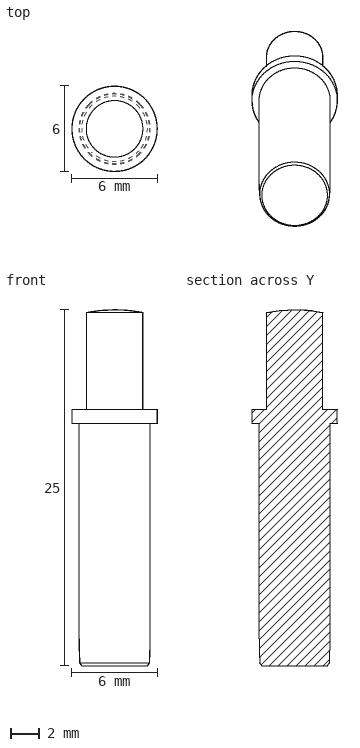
import cadquery as cq

total_height = 25.0
flange_top = 18.0
flange_thickness = 1.0
tip_height = 2.0
chamfer_height = 0.2
dome_height = 0.2

flange_radius = 3.0
barrel_radius = 2.5
plunger_diameter = 3.98
plunger_radius = plunger_diameter / 2
tip_end_radius = 2.45
bottom_radius = 2.3

crown_length = tip_height - chamfer_height
crown_drop = barrel_radius - tip_end_radius
crown_radius = (crown_length**2 + crown_drop**2) / (2 * crown_drop)
crown_mid_height = tip_height - crown_length / 2
crown_mid_radius = barrel_radius - crown_radius + (crown_radius**2 - (crown_length / 2) ** 2) ** 0.5


def make_barrel():
    """Barrel with its crowned lead-in tip and bottom chamfer, turned about Z."""
    profile = (
        cq.Workplane("XZ")
        .lineTo(bottom_radius, 0)
        .lineTo(tip_end_radius, chamfer_height)
        .threePointArc((crown_mid_radius, crown_mid_height), (barrel_radius, tip_height))
        .lineTo(barrel_radius, flange_top)
        .lineTo(0, flange_top)
        .close()
    )
    return profile.revolve(360, (0, 0, 0), (0, 1, 0))


def make_flange():
    """Stop flange around the top end of the barrel."""
    flange_bottom = flange_top - flange_thickness
    return cq.Workplane("XY").workplane(offset=flange_bottom).circle(flange_radius).extrude(flange_thickness)


def make_plunger():
    """Plunger rising from the flange, closed by a shallow spherical dome."""
    shoulder = total_height - dome_height
    dome_radius = (plunger_radius**2 + dome_height**2) / (2 * dome_height)
    mid_radius = plunger_radius / 2
    mid_height = total_height - dome_radius + (dome_radius**2 - mid_radius**2) ** 0.5
    profile = (
        cq.Workplane("XZ")
        .moveTo(0, flange_top)
        .lineTo(plunger_radius, flange_top)
        .lineTo(plunger_radius, shoulder)
        .threePointArc((mid_radius, mid_height), (0, total_height))
        .close()
    )
    return profile.revolve(360, (0, 0, 0), (0, 1, 0))


result = make_barrel().union(make_flange()).union(make_plunger())